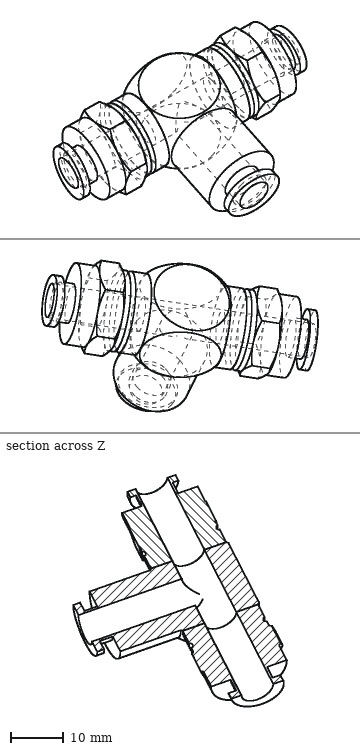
import cadquery as cq
import math

BLOCK_X = 16.5
BLOCK_Y = 15.85
BLOCK_Z = 15.85
TRIM_SPHERE_RADIUS = 11.15

BORE_RADIUS = 3.3

BRANCH_RADIUS = 7.6
BRANCH_TIP_X = 24.95

NECK_RADIUS = 3.85
NECK_LENGTH = 2.6
FLANGE_MAJOR_RADIUS = 5.95
FLANGE_MINOR_RADIUS = 4.95
FLANGE_THICKNESS = 1.5
COLLAR_LENGTH = NECK_LENGTH + FLANGE_THICKNESS

OVERALL_Y = 52.15
SLEEVE_RADIUS = 7.95
SLEEVE_LENGTH = OVERALL_Y / 2 - BLOCK_Y / 2 - COLLAR_LENGTH
GROOVE_RADIUS = 0.495
GROOVE_HEIGHT = 3.65
HEX_SIDES = 6
HEX_CORNER_RADIUS = SLEEVE_RADIUS / math.cos(math.pi / HEX_SIDES)
HEX_START = 5.2
HEX_WIDTH = 5.0
HEX_BEVEL_DEPTH = 0.75

FRONT_FITTING_ANGLE = 200.0
REAR_FITTING_ANGLE = 131.0


def release_collar():
    """Neck and oval flange standing on the XY plane, flange major axis along local Y."""
    neck = cq.Workplane("XY").circle(NECK_RADIUS).extrude(NECK_LENGTH)
    flange = (
        cq.Workplane("XY")
        .workplane(offset=NECK_LENGTH)
        .ellipse(FLANGE_MAJOR_RADIUS, FLANGE_MINOR_RADIUS)
        .extrude(FLANGE_THICKNESS)
        .rotate((0, 0, 0), (0, 0, 1), 90)
    )
    return neck.union(flange)


def bore(length):
    """Cylinder along +Z used to cut the passage of one arm."""
    return cq.Workplane("XY").circle(BORE_RADIUS).extrude(length)


def beveled_hexagon():
    """Hexagon with a corner on local X and conical bevels at both ends."""
    hexagon = (
        cq.Workplane("XY")
        .workplane(offset=HEX_START)
        .polygon(HEX_SIDES, 2 * HEX_CORNER_RADIUS)
        .extrude(HEX_WIDTH)
    )
    hex_end = HEX_START + HEX_WIDTH
    bevel_envelope = (
        cq.Workplane("XZ")
        .moveTo(0, HEX_START)
        .lineTo(SLEEVE_RADIUS, HEX_START)
        .lineTo(HEX_CORNER_RADIUS, HEX_START + HEX_BEVEL_DEPTH)
        .lineTo(HEX_CORNER_RADIUS, hex_end - HEX_BEVEL_DEPTH)
        .lineTo(SLEEVE_RADIUS, hex_end)
        .lineTo(0, hex_end)
        .close()
        .revolve(360, (0, 0, 0), (0, 1, 0))
    )
    return hexagon.intersect(bevel_envelope)


def fitting_groove():
    """Ring of round section that cuts a half-round groove into the sleeve."""
    return (
        cq.Workplane("XZ")
        .center(SLEEVE_RADIUS, GROOVE_HEIGHT)
        .circle(GROOVE_RADIUS)
        .revolve(360, (-SLEEVE_RADIUS, 0, 0), (-SLEEVE_RADIUS, 1, 0))
    )


def rotating_fitting():
    """Grooved sleeve with a hexagon and a release collar, its block side on the XY plane."""
    sleeve = cq.Workplane("XY").circle(SLEEVE_RADIUS).extrude(SLEEVE_LENGTH)
    collar = release_collar().translate((0, 0, SLEEVE_LENGTH))
    return (
        sleeve.cut(fitting_groove())
        .union(beveled_hexagon())
        .union(collar)
        .cut(bore(SLEEVE_LENGTH + COLLAR_LENGTH))
    )


def tee_body():
    """Trimmed block with its branch along +X, bored along Y and along the branch."""
    block = cq.Workplane("XY").box(BLOCK_X, BLOCK_Y, BLOCK_Z)
    block = block.intersect(cq.Workplane("XY").sphere(TRIM_SPHERE_RADIUS))

    branch_length = BRANCH_TIP_X - COLLAR_LENGTH
    branch = cq.Workplane("XY").circle(BRANCH_RADIUS).extrude(branch_length)
    branch = branch.union(release_collar().translate((0, 0, branch_length)))
    branch = branch.rotate((0, 0, 0), (0, 1, 0), 90)
    branch_bore = bore(BRANCH_TIP_X).rotate((0, 0, 0), (0, 1, 0), 90)

    through_bore = cq.Workplane("XZ").circle(BORE_RADIUS).extrude(BLOCK_Y / 2, both=True)
    return block.union(branch).cut(through_bore).cut(branch_bore)


fittings = []
for direction, angle in ((-1, FRONT_FITTING_ANGLE), (1, REAR_FITTING_ANGLE)):
    fitting = rotating_fitting().rotate((0, 0, 0), (1, 0, 0), -90 * direction)
    fitting = fitting.rotate((0, 0, 0), (0, 1, 0), -angle)
    fittings.append(fitting.translate((0, direction * BLOCK_Y / 2, 0)))

body = tee_body()

result = cq.Compound.makeCompound([body.val()] + [fitting.val() for fitting in fittings])